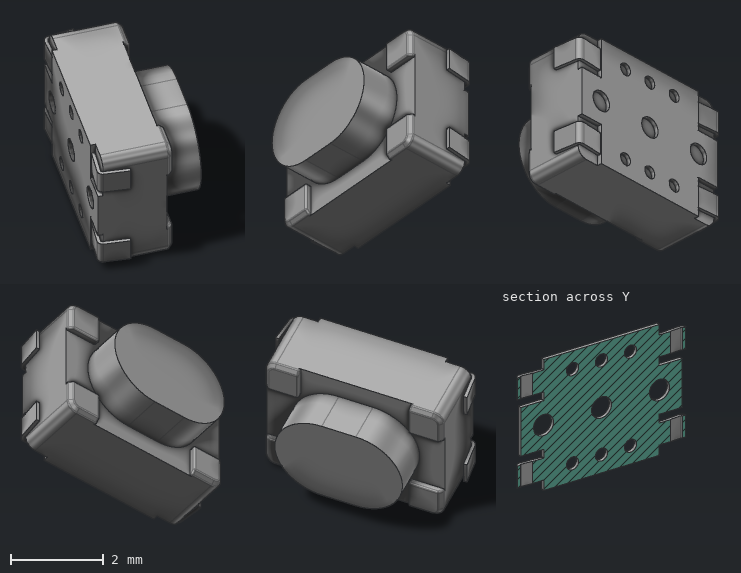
import cadquery as cq
import math

TOTAL_WIDTH = 4.5
BODY_WIDTH = 4.185
BODY_HEIGHT = 3.2
BODY_DEPTH = 1.55
CORNER_RADIUS = 0.25

PAD_RISE = 0.15
PAD_INNER_X = 1.29
PAD_INNER_Z = 0.79
PAD_CHAMFER = 0.1
PAD_ROUNDING = 0.045

BUTTON_WIDTH = 2.995
BUTTON_HEIGHT = 2.195
BUTTON_TOP = 2.498

RECESS_INNER_X = BUTTON_WIDTH / 2
RECESS_INNER_Z = 0.6
RECESS_DEPTH = 0.115

HOLE_DEPTH = 0.1
LARGE_HOLE_DIAMETER = 0.505
LARGE_HOLE_PITCH = RECESS_INNER_X
SMALL_HOLE_DIAMETER = 0.3
SMALL_HOLE_PITCH = LARGE_HOLE_PITCH / 2
SMALL_HOLE_Z = 1.148

LEAD_THICKNESS = 0.08
LEAD_BEND_RADIUS = 0.13
LEAD_DROP = 0.015
LEAD_TIP_Y = 0.698
LEAD_INNER_Z = 0.8
LEAD_OUTER_Z = BODY_HEIGHT / 2 - CORNER_RADIUS
LEG_TILT = math.radians(6.3)
FOOT_TILT = math.radians(4.1)


def at_four_corners(shape):
    """Copy a +X, +Z corner feature to all four corners by mirroring."""
    pair = shape.union(shape.mirror("YZ"))
    return pair.union(pair.mirror("XY"))


def section_at(y):
    """Sketch plane at height y, with local x along X, local y along Z and extrusion to -Y."""
    return cq.Workplane("XZ", origin=(0, y, 0))


def rounded_slab(start_y, depth):
    """Full body outline with rounded corners, from start_y towards +Y."""
    slab = section_at(start_y).rect(BODY_WIDTH, BODY_HEIGHT).extrude(-depth)
    return slab.edges("|Y").fillet(CORNER_RADIUS)


def corner_block(inner_x, inner_z, start_y, end_y):
    """Box at +X, +Z from the given inner corner out to the body outline."""
    size = (BODY_WIDTH / 2 - inner_x, end_y - start_y, BODY_HEIGHT / 2 - inner_z)
    return cq.Workplane("XY").box(*size, centered=False).translate((inner_x, start_y, inner_z))


def corner_pad():
    """Raised pad at +X, +Z: softened chamfer on the outside, rounded edges on the inner ends."""
    slab = rounded_slab(BODY_DEPTH, PAD_RISE)
    slab = slab.faces(">Y").chamfer(PAD_CHAMFER)
    slab = slab.edges("#Y").edges("not <Y").fillet(PAD_ROUNDING)

    pad = slab.intersect(corner_block(PAD_INNER_X, PAD_INNER_Z, BODY_DEPTH, BODY_DEPTH + PAD_RISE))
    return pad.faces("<X or <Z").edges("not <Y").fillet(PAD_ROUNDING)


def button():
    obround = section_at(BODY_DEPTH).slot2D(BUTTON_WIDTH, BUTTON_HEIGHT)
    return obround.extrude(BODY_DEPTH - BUTTON_TOP)


def mounting_holes():
    columns = (-1, 0, 1)
    large_spots = [(column * LARGE_HOLE_PITCH, 0) for column in columns]
    small_spots = [(column * SMALL_HOLE_PITCH, side * SMALL_HOLE_Z) for column in columns for side in (-1, 1)]
    large = section_at(0).pushPoints(large_spots).circle(LARGE_HOLE_DIAMETER / 2).extrude(-HOLE_DEPTH)
    small = section_at(0).pushPoints(small_spots).circle(SMALL_HOLE_DIAMETER / 2).extrude(-HOLE_DEPTH)
    return large.add(small).combine()


def lead():
    """Lead at +X, +Z: a foot in the recess, a bend and an upright leg."""
    outer_radius = LEAD_BEND_RADIUS
    inner_radius = outer_radius - LEAD_THICKNESS
    center_y = outer_radius - LEAD_DROP
    leg_length = (LEAD_TIP_Y - center_y + outer_radius * math.sin(LEG_TILT)) / math.cos(LEG_TILT)
    leg_run = leg_length * math.sin(LEG_TILT)
    center_x = TOTAL_WIDTH / 2 - leg_run - outer_radius * math.cos(LEG_TILT)

    foot_angle = -math.pi / 2 - FOOT_TILT
    leg_angle = -LEG_TILT
    middle_angle = (foot_angle + leg_angle) / 2

    def on_bend(radius, angle):
        return (center_x + radius * math.cos(angle), center_y + radius * math.sin(angle))

    def foot_end(radius):
        bend_x, bend_y = on_bend(radius, foot_angle)
        return (RECESS_INNER_X, bend_y + (bend_x - RECESS_INNER_X) * math.tan(FOOT_TILT))

    def leg_end(radius):
        bend_x, bend_y = on_bend(radius, leg_angle)
        return (bend_x + leg_run, bend_y + leg_length * math.cos(LEG_TILT))

    profile = (
        cq.Workplane("XY", origin=(0, 0, LEAD_INNER_Z))
        .moveTo(*foot_end(outer_radius))
        .lineTo(*on_bend(outer_radius, foot_angle))
        .threePointArc(on_bend(outer_radius, middle_angle), on_bend(outer_radius, leg_angle))
        .lineTo(*leg_end(outer_radius))
        .lineTo(*leg_end(inner_radius))
        .lineTo(*on_bend(inner_radius, leg_angle))
        .threePointArc(on_bend(inner_radius, middle_angle), on_bend(inner_radius, foot_angle))
        .lineTo(*foot_end(inner_radius))
        .close()
    )
    return profile.extrude(LEAD_OUTER_Z - LEAD_INNER_Z)


recess = corner_block(RECESS_INNER_X, RECESS_INNER_Z, 0, RECESS_DEPTH)

result = (
    rounded_slab(0, BODY_DEPTH)
    .cut(at_four_corners(recess))
    .cut(mounting_holes())
    .union(at_four_corners(corner_pad()))
    .union(button())
    .union(at_four_corners(lead()))
)